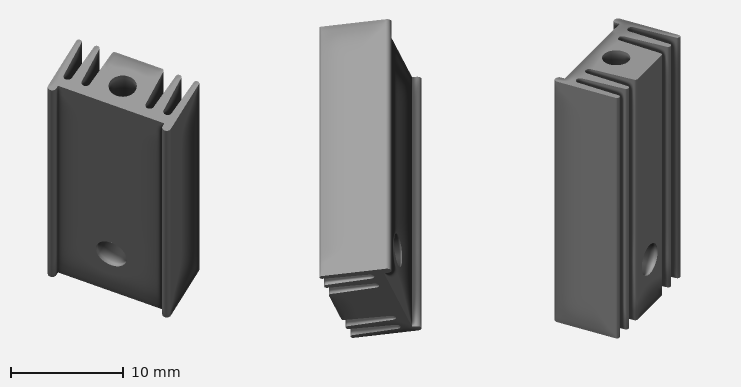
import cadquery as cq
import math


width = 12.0
depth = 6.5
length = 25.0

foot_width = 0.8
foot_height = 0.75
foot_radius = foot_width / 2

slot_depth = 4.77
slot_bottom_radius = 0.39
slot_half_taper = 3.0
slot_pitch = 1.75
inner_slot_x = 3.13
tip_radius = 0.24

end_hole_diameter = 2.5
end_hole_depth = 10.0
end_hole_point_height = 1.0
end_hole_y = 3.15

mount_hole_diameter = 3.0
mount_hole_z = 5.0


def make_body():
    """Solid bar with two round-nosed feet at the front (Y = 0)."""
    bar = (
        cq.Workplane("XY")
        .rect(width, depth - foot_height)
        .extrude(length)
        .translate((0, (depth + foot_height) / 2, 0))
    )
    foot_x = (width - foot_width) / 2
    for x in (-foot_x, foot_x):
        foot = (
            cq.Workplane("XY")
            .moveTo(x - foot_radius, foot_height)
            .lineTo(x - foot_radius, foot_radius)
            .threePointArc((x, 0), (x + foot_radius, foot_radius))
            .lineTo(x + foot_radius, foot_height)
            .close()
            .extrude(length)
        )
        bar = bar.union(foot)
    return bar


def make_slot(x):
    """Slot cutter at x: straight tapered walls tangent to a round bottom."""
    taper = math.radians(slot_half_taper)
    bottom_y = depth - slot_depth
    tangent_x = slot_bottom_radius * math.cos(taper)
    tangent_y = bottom_y + slot_bottom_radius * (1 - math.sin(taper))
    mouth_x = tangent_x + (depth - tangent_y) * math.tan(taper)
    return (
        cq.Workplane("XY")
        .moveTo(x - mouth_x, depth)
        .lineTo(x - tangent_x, tangent_y)
        .threePointArc((x, bottom_y), (x + tangent_x, tangent_y))
        .lineTo(x + mouth_x, depth)
        .close()
        .extrude(length)
    )


def cut_slots(body):
    """Two slots on each side of the centre block."""
    outer_slot_x = inner_slot_x + slot_pitch
    for x in (-outer_slot_x, -inner_slot_x, inner_slot_x, outer_slot_x):
        body = body.cut(make_slot(x))
    return body


def round_tips(body):
    """Round the fin tips and the back corners of the centre block."""
    return body.faces(">Y").edges("|Z").fillet(tip_radius)


def make_end_hole():
    """Drill-shaped cutter entering from the top end."""
    radius = end_hole_diameter / 2
    shoulder_z = length - end_hole_depth
    return (
        cq.Workplane("XZ")
        .moveTo(0, length)
        .lineTo(radius, length)
        .lineTo(radius, shoulder_z)
        .lineTo(0, shoulder_z - end_hole_point_height)
        .close()
        .revolve(360, (0, 0, 0), (0, 1, 0))
        .translate((0, end_hole_y, 0))
    )


def make_mount_hole():
    """Cylinder along Y through the full depth of the part."""
    return (
        cq.Workplane("XZ")
        .center(0, mount_hole_z)
        .circle(mount_hole_diameter / 2)
        .extrude(-depth)
    )


body = round_tips(cut_slots(make_body()))
result = body.cut(make_end_hole()).cut(make_mount_hole())